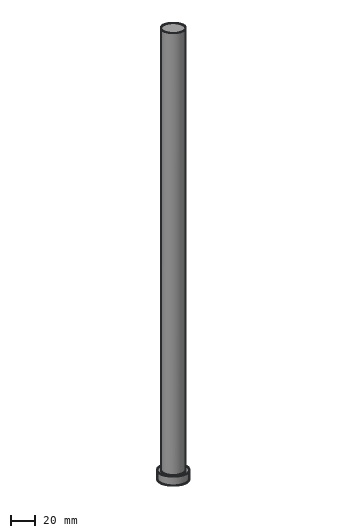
import cadquery as cq

total_length = 400.0
head_diameter = 26.0
head_height = 8.0
shank_diameter = 20.0

head = cq.Workplane("XY").circle(head_diameter / 2).extrude(head_height)
shank = cq.Workplane("XY").circle(shank_diameter / 2).extrude(total_length)

result = head.union(shank)